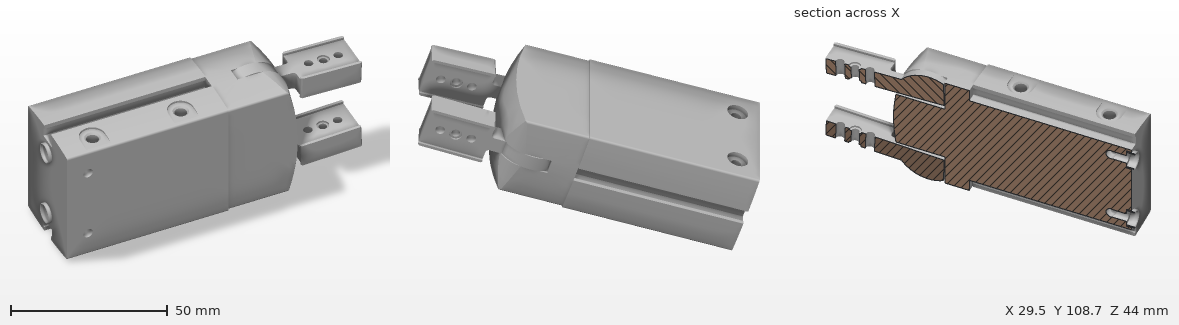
import cadquery as cq
import math


housing_width = 29.5
housing_half_height = 22.0
housing_length = 56.9
corner_radius = 0.8
crown_radius = 108.7

cap_width = 28.8
cap_half_height = 21.5
dome_apex_y = 83.7
dome_radius_across = 47.3
dome_radius_along = 67.4
brow_radius = 8.6
brow_start_y = 73.8

groove_mouth_width = 5.0
groove_width = 6.3
groove_shoulder_z = 20.4
groove_floor_z = 17.2

port_x = 8.7
port_ys = (11.7, 42.8)
port_pad_radius = 4.3
port_pad_edge_x = 13.3
port_diameter = 4.1
port_mouth_diameter = 5.2
port_depth = 6.5

mount_z = 12.5
side_hole_y = 7.4
side_hole_diameter = 3.3
rear_hole_diameter = 3.0
seat_diameter = 7.0
seat_depth = 1.7

sleeve_bore = 5.9
sleeve_protrusion = 1.2
sleeve_chamfer = 0.2

pivot_y = 71.4
pivot_z = 10.0
jaw_tilt = 2.0
jaw_thickness = 5.0
hub_radius = 12.0
finger_width = 14.8
finger_height = 8.0
finger_center_z = 4.6
finger_back_y = 14.4
finger_tip_y = 35.8
lip_width = 1.0
lip_height = 0.9
neck_fillet = 1.1
finger_corner_chamfer = 0.4
finger_hole_ys = (20.2, 25.4, 30.7)
finger_hole_diameter = 3.0
thread_diameter = 2.7
thread_mouth_diameter = 4.1
thread_mouth_depth = 0.7

slot_back_y = 65.7
slot_floor_z = 10.3

shank_height = finger_height - 2 * lip_height
shank_bottom_z = finger_center_z - shank_height / 2
shank_top_z = finger_center_z + shank_height / 2


def arc_drop(radius, half_chord):
    """Distance from the apex of an arc down to its chord."""
    return radius - math.sqrt(radius**2 - half_chord**2)


def crowned_bar(width, half_height, start_y, end_y):
    """Bar along Y with convex top and bottom faces and rounded long edges."""
    half_width = width / 2
    edge_z = half_height - arc_drop(crown_radius, half_width)
    return (
        cq.Workplane("XZ", origin=(0, start_y, 0))
        .moveTo(-half_width, -edge_z)
        .threePointArc((0, -half_height), (half_width, -edge_z))
        .lineTo(half_width, edge_z)
        .threePointArc((0, half_height), (-half_width, edge_z))
        .close()
        .extrude(start_y - end_y)
        .edges("|Y")
        .fillet(corner_radius)
    )


def mirrored_pair(shape):
    """The shape and its mirror image below the XY plane."""
    return [shape, shape.mirror("XY")]




def make_dome():
    """Solid of revolution whose front is curved both across and along the gripping direction."""
    half_width = housing_width / 2
    axis_y = dome_apex_y - dome_radius_along
    edge_y = dome_apex_y - arc_drop(dome_radius_across, half_width)
    return (
        cq.Workplane("XY")
        .moveTo(-half_width, axis_y)
        .lineTo(-half_width, edge_y)
        .threePointArc((0, dome_apex_y), (half_width, edge_y))
        .lineTo(half_width, axis_y)
        .close()
        .revolve(360, (-half_width, axis_y, 0), (half_width, axis_y, 0))
    )


def make_brow_envelope():
    """Side outline that rounds the cap from its top and bottom into the dome."""
    center_z = cap_half_height - brow_radius
    middle_y = brow_start_y + brow_radius * math.sin(math.radians(45))
    middle_z = center_z + brow_radius * math.cos(math.radians(45))
    end_y = brow_start_y + brow_radius
    return (
        cq.Workplane("YZ", origin=(-housing_width / 2, 0, 0))
        .moveTo(0, -cap_half_height)
        .lineTo(brow_start_y, -cap_half_height)
        .threePointArc((middle_y, -middle_z), (end_y, -center_z))
        .lineTo(dome_apex_y, -center_z)
        .lineTo(dome_apex_y, center_z)
        .lineTo(end_y, center_z)
        .threePointArc((middle_y, middle_z), (brow_start_y, cap_half_height))
        .lineTo(0, cap_half_height)
        .close()
        .extrude(housing_width)
    )


def make_cap():
    bar = crowned_bar(cap_width, cap_half_height, housing_length, dome_apex_y)
    return bar.intersect(make_dome()).intersect(make_brow_envelope())


def make_jaw_slot():
    length = dome_apex_y - slot_back_y
    depth = cap_half_height - slot_floor_z
    slot = cq.Workplane("XY").box(jaw_thickness, length, depth, centered=(True, False, False))
    return slot.translate((0, slot_back_y, slot_floor_z))


def make_groove():
    def channel(width, bottom_z, top_z):
        box = cq.Workplane("XY").box(width, housing_length, top_z - bottom_z, centered=(True, False, False))
        return box.translate((0, 0, bottom_z))

    mouth = channel(groove_mouth_width, groove_shoulder_z, housing_half_height)
    return mouth.union(channel(groove_width, groove_floor_z, groove_shoulder_z))


def make_port(y):
    """Flat D-shaped pad that runs out of the crowned top, with a chamfered blind hole."""
    pad_z = housing_half_height - arc_drop(crown_radius, port_pad_edge_x)
    pad_height = housing_half_height - pad_z
    pad_length = housing_width / 2 - port_x
    plane = cq.Workplane("XY", origin=(port_x, y, pad_z))
    pad = plane.circle(port_pad_radius).extrude(pad_height)
    run_out = plane.center(pad_length / 2, 0).rect(pad_length, 2 * port_pad_radius).extrude(pad_height)
    hole = plane.circle(port_diameter / 2).extrude(-port_depth)
    mouth_depth = (port_mouth_diameter - port_diameter) / 2
    mouth = plane.circle(port_mouth_diameter / 2).extrude(-mouth_depth, taper=45)
    return pad.union(run_out).union(hole).union(mouth)


def make_side_hole():
    """Cross hole through the whole width, with a sleeve seat on the -X side."""
    plane = cq.Workplane("YZ", origin=(-housing_width / 2, side_hole_y, mount_z))
    hole = plane.circle(side_hole_diameter / 2).extrude(housing_width)
    return hole.union(plane.circle(seat_diameter / 2).extrude(seat_depth))


def make_rear_hole():
    """Hole from the mounting face into the cross hole, with a sleeve seat."""
    plane = cq.Workplane("XZ", origin=(0, 0, mount_z))
    hole = plane.circle(rear_hole_diameter / 2).extrude(-side_hole_y)
    return hole.union(plane.circle(seat_diameter / 2).extrude(-seat_depth))


def make_housing():
    block = crowned_bar(housing_width, housing_half_height, 0, housing_length)
    body = block.union(make_cap())
    for feature in (make_jaw_slot(), make_groove(), make_side_hole(), make_rear_hole()):
        for cutter in mirrored_pair(feature):
            body = body.cut(cutter)
    for y in port_ys:
        body = body.cut(make_port(y))
    return body




def make_sleeve():
    """Sleeve that sits in the upper rear seat and stands out of the mounting face."""
    return (
        cq.Workplane("XZ", origin=(0, seat_depth, mount_z))
        .circle(seat_diameter / 2)
        .circle(sleeve_bore / 2)
        .extrude(seat_depth + sleeve_protrusion)
        .faces("<Y")
        .chamfer(sleeve_chamfer)
    )




def make_hub():
    """Part of the pivot disc above the shank bottom, continued as the shank into the finger."""
    back_y = slot_back_y - pivot_y
    back_z = math.sqrt(hub_radius**2 - back_y**2)
    front_y = math.sqrt(hub_radius**2 - shank_top_z**2)
    return (
        cq.Workplane("YZ", origin=(-jaw_thickness / 2, 0, 0))
        .moveTo(back_y, shank_bottom_z)
        .lineTo(back_y, back_z)
        .threePointArc((0, hub_radius), (front_y, shank_top_z))
        .lineTo(finger_back_y + neck_fillet, shank_top_z)
        .lineTo(finger_back_y + neck_fillet, shank_bottom_z)
        .close()
        .extrude(jaw_thickness)
    )


def make_finger():
    """Finger block with chamfered upright corners."""
    length = finger_tip_y - finger_back_y
    middle = (0, (finger_back_y + finger_tip_y) / 2, finger_center_z)
    return (
        cq.Workplane("XY")
        .box(finger_width, length, finger_height)
        .edges("|Z")
        .chamfer(finger_corner_chamfer)
        .translate(middle)
    )


def make_finger_grooves():
    """Recesses between the lips on both gripping faces."""
    length = finger_tip_y - finger_back_y
    width = finger_width - 2 * lip_width
    groove = cq.Workplane("XY").box(width, length, lip_height, centered=(True, False, False))
    upper = groove.translate((0, finger_back_y, shank_top_z))
    lower = groove.translate((0, finger_back_y, shank_bottom_z - lip_height))
    return upper.union(lower)


def make_finger_holes():
    """Two dowel holes with a threaded hole between them, which is widened at both ends."""
    first_y, thread_y, last_y = finger_hole_ys
    plane = cq.Workplane("XY", origin=(0, 0, shank_top_z))
    dowels = plane.pushPoints([(0, first_y), (0, last_y)]).circle(finger_hole_diameter / 2).extrude(-shank_height)
    thread = plane.center(0, thread_y).circle(thread_diameter / 2).extrude(-shank_height)
    mouth = plane.center(0, thread_y).circle(thread_mouth_diameter / 2).extrude(-thread_mouth_depth)
    lower_mouth = mouth.translate((0, 0, thread_mouth_depth - shank_height))
    return dowels.union(thread).union(mouth).union(lower_mouth)


def make_jaw():
    """Upper jaw, tilted about its pivot so that the tip leans towards the middle."""
    finger = make_finger().cut(make_finger_grooves())
    jaw = make_hub().union(finger)
    neck_corners = cq.selectors.BoxSelector(
        (-jaw_thickness, finger_back_y - neck_fillet / 2, shank_bottom_z),
        (jaw_thickness, finger_back_y + neck_fillet / 2, shank_top_z),
    )
    jaw = jaw.edges("|Z").edges(neck_corners).fillet(neck_fillet)
    jaw = jaw.cut(make_finger_holes())
    return jaw.rotate((0, 0, 0), (1, 0, 0), -jaw_tilt).translate((0, pivot_y, pivot_z))



housing = make_housing()
sleeves = mirrored_pair(make_sleeve())
jaws = mirrored_pair(make_jaw())

result = cq.Compound.makeCompound(
    [housing.val()] + [sleeve.val() for sleeve in sleeves] + [jaw.val() for jaw in jaws]
)